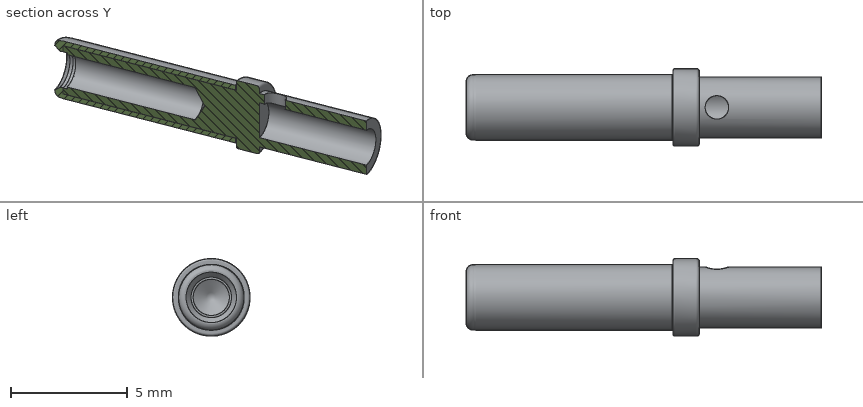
import cadquery as cq
import math

TOTAL_LENGTH = 15.23
SLEEVE_END = 8.83
COLLAR_START = 8.86
COLLAR_END = 10.0

SLEEVE_RADIUS = 1.42
SLEEVE_BORE_RADIUS = 1.15
NOSE_FACE_RADIUS = 1.15
LEAD_IN_RADIUS = 1.08
LEAD_IN_DEPTH = 0.27
ENTRY_RADIUS = 0.87
NOSE_LENGTH = 0.34
NOSE_TAPER_END = 0.43
NOSE_TAPER_DROP = 0.02

CONTACT_FACE = 0.43
COLLAR_RADIUS = 3.34 / 2
COLLAR_FRONT_FILLET = 0.1
COLLAR_REAR_FILLET = 0.14
BARREL_RADIUS = 1.31
SOCKET_RADIUS = 0.78
COUNTERBORE_END = 0.61
SOCKET_END = 6.85
DRILL_POINT_ANGLE = 118.0

WIRE_BORE_RADIUS = 0.84
WIRE_BORE_START = COLLAR_END
WINDOW_RADIUS = 0.5
WINDOW_X = 10.75


def revolve_about_x(profile):
    """Revolve a closed (x, radius) profile fully about the X axis."""
    return profile.close().revolve(360, (0, 0, 0), (1, 0, 0))


def make_sleeve():
    """Tube with a rounded nose and a conical lead-in through its front lip."""
    nose_end_radius = SLEEVE_RADIUS - NOSE_TAPER_DROP
    nose_rise = nose_end_radius - NOSE_FACE_RADIUS
    nose_mid = (
        NOSE_LENGTH * (1 - math.cos(math.pi / 4)),
        NOSE_FACE_RADIUS + nose_rise * math.sin(math.pi / 4),
    )
    profile = (
        cq.Workplane("XY")
        .moveTo(0, NOSE_FACE_RADIUS)
        .threePointArc(nose_mid, (NOSE_LENGTH, nose_end_radius))
        .lineTo(NOSE_TAPER_END, SLEEVE_RADIUS)
        .lineTo(SLEEVE_END, SLEEVE_RADIUS)
        .lineTo(SLEEVE_END, SLEEVE_BORE_RADIUS)
        .lineTo(CONTACT_FACE, SLEEVE_BORE_RADIUS)
        .lineTo(CONTACT_FACE, ENTRY_RADIUS)
        .lineTo(LEAD_IN_DEPTH, ENTRY_RADIUS)
        .lineTo(0, LEAD_IN_RADIUS)
    )
    return revolve_about_x(profile)


def make_contact_blank():
    """Front shank that fills the sleeve, the collar and the rear barrel."""
    shank = cq.Workplane("YZ", origin=(CONTACT_FACE, 0, 0)).circle(SLEEVE_BORE_RADIUS)
    shank = shank.extrude(COLLAR_START - CONTACT_FACE)
    collar = cq.Workplane("YZ", origin=(COLLAR_START, 0, 0)).circle(COLLAR_RADIUS)
    collar = collar.extrude(COLLAR_END - COLLAR_START)
    collar = collar.faces("<X").edges().fillet(COLLAR_FRONT_FILLET)
    collar = collar.faces(">X").edges().fillet(COLLAR_REAR_FILLET)
    barrel = cq.Workplane("YZ", origin=(COLLAR_END, 0, 0)).circle(BARREL_RADIUS)
    barrel = barrel.extrude(TOTAL_LENGTH - COLLAR_END)
    return shank.union(collar).union(barrel)


def make_socket_cut():
    """Blind hole with a shallow counterbore and a conical drill point."""
    point_length = SOCKET_RADIUS / math.tan(math.radians(DRILL_POINT_ANGLE / 2))
    profile = (
        cq.Workplane("XY")
        .moveTo(CONTACT_FACE, 0)
        .lineTo(CONTACT_FACE, ENTRY_RADIUS)
        .lineTo(COUNTERBORE_END, ENTRY_RADIUS)
        .lineTo(COUNTERBORE_END, SOCKET_RADIUS)
        .lineTo(SOCKET_END, SOCKET_RADIUS)
        .lineTo(SOCKET_END + point_length, 0)
    )
    return revolve_about_x(profile)


def make_contact():
    """Contact with its pin socket, wire bore and inspection window."""
    wire_bore = cq.Workplane("YZ", origin=(WIRE_BORE_START, 0, 0)).circle(WIRE_BORE_RADIUS)
    wire_bore = wire_bore.extrude(TOTAL_LENGTH - WIRE_BORE_START)
    window = cq.Workplane("XY").center(WINDOW_X, 0).circle(WINDOW_RADIUS).extrude(BARREL_RADIUS)
    return make_contact_blank().cut(make_socket_cut()).cut(wire_bore).cut(window)


sleeve = make_sleeve()
contact = make_contact()

result = cq.Compound.makeCompound([sleeve.val(), contact.val()])